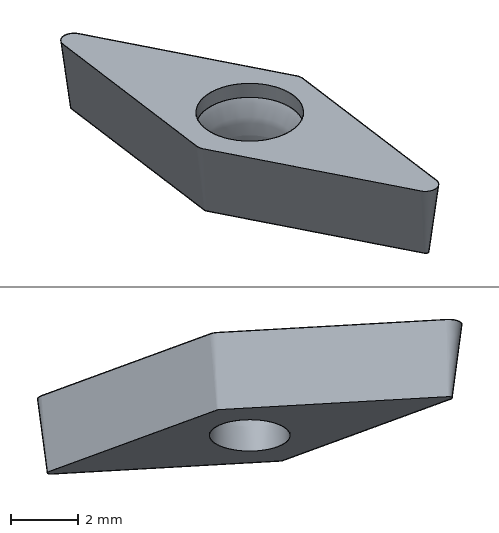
import cadquery as cq
import math

overall_length = 13.36
inscribed_diameter = 4.75
nose_angle = 35.0
thickness = 2.38
clearance_angle = 7.0
mouth_diameter = 3.2
mouth_depth = 0.5
bore_diameter = 2.4
seat_radius = 1.7

half_width = inscribed_diameter / 2
side_length = inscribed_diameter / math.sin(math.radians(nose_angle))
slant_run = inscribed_diameter / math.tan(math.radians(nose_angle))
sharp_x = (side_length + slant_run) / 2
blunt_x = (side_length - slant_run) / 2
corners = [
    (sharp_x, half_width),
    (-blunt_x, half_width),
    (-sharp_x, -half_width),
    (blunt_x, -half_width),
]

nose_cotangent = 1 / math.tan(math.radians(nose_angle / 2))
corner_radius = (half_width * nose_cotangent - overall_length / 2) / (nose_cotangent - 1)


def make_body():
    """Rounded rhombus shrinking downward from the top face at Z = 0."""
    rhombus = cq.Workplane("XY").polyline(corners).close().extrude(-thickness)
    rounded = rhombus.edges("|Z").fillet(corner_radius)
    outline = rounded.faces(">Z").wires().val()
    return (
        cq.Workplane("XY").add(outline).toPending()
        .extrude(-thickness, taper=clearance_angle)
    )


def make_screw_hole():
    """Straight mouth, rounded seat and through bore, revolved about Z."""
    mouth_radius = mouth_diameter / 2
    bore_radius = bore_diameter / 2
    arc_center_x = bore_radius + seat_radius

    def seat_drop(radius):
        """Height of the seat arc above its tangent point on the bore."""
        return math.sqrt(seat_radius**2 - (arc_center_x - radius)**2)

    tangent_z = -mouth_depth - seat_drop(mouth_radius)
    middle_radius = (mouth_radius + bore_radius) / 2
    return (
        cq.Workplane("XZ")
        .lineTo(mouth_radius, 0)
        .lineTo(mouth_radius, -mouth_depth)
        .threePointArc(
            (middle_radius, tangent_z + seat_drop(middle_radius)),
            (bore_radius, tangent_z),
        )
        .lineTo(bore_radius, -thickness)
        .lineTo(0, -thickness)
        .close()
        .revolve(360, (0, 0), (0, 1))
    )


result = make_body().cut(make_screw_hole())